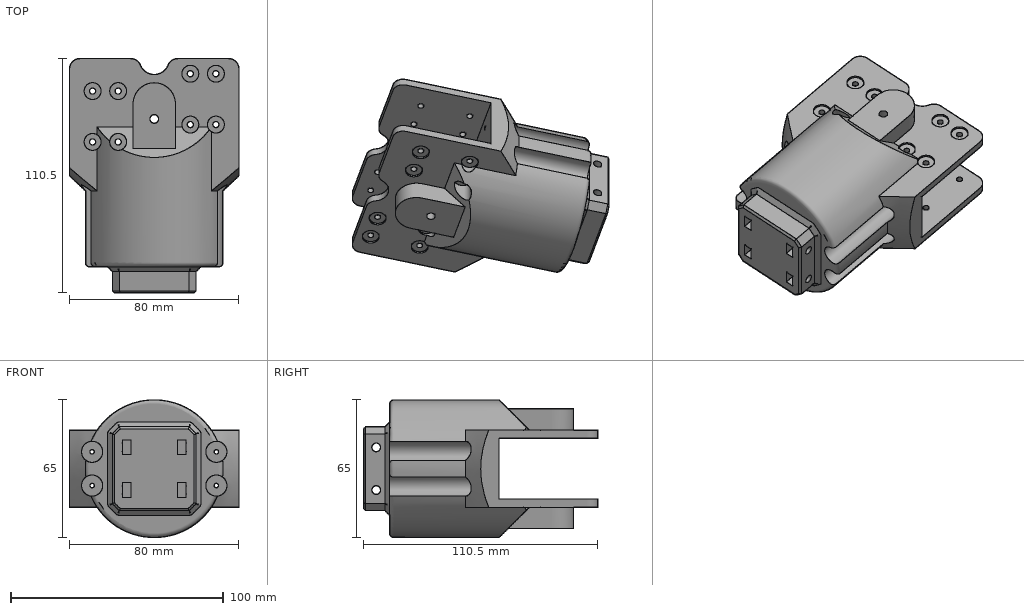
import cadquery as cq
import math


total_length = 110.5
total_width = 80.0
barrel_radius = 32.5

fork_length = 46.6
fork_half_height = 18.2
plate_thickness = 4.0
plate_corner_radius = 5.0
notch_radius = 7.0
notch_depth = 7.5
slot_half_height = fork_half_height - plate_thickness

shoulder_end_y = -15.8
shoulder_length = 10.9
shoulder_radius = math.hypot(total_width / 2, fork_half_height)

lug_width = 20.0
lug_half_height = 28.3
lug_arc_y = 25.2
lug_hole_y = 18.1
lug_hole_diameter = 4.0

plate_hole_diameter = 2.8
plate_bore_diameter = 8.0
plate_bore_depth = 1.0
plate_hole_inner_x = 17.0
plate_hole_outer_x = 29.1
plate_hole_pitch_y = 24.0
left_holes_y = 7.3
right_holes_y = 15.5

block_width = 39.6
block_length = 10.1
block_corner = 3.3
block_edge_chamfer = 1.0
flare_length = 2.2
flare_offset = 2.2
block_end_y = fork_length - total_length
flare_end_y = block_end_y + block_length
barrel_face_y = flare_end_y + flare_length
barrel_rim_fillet = 2.0

nut_slot_width = 4.0
nut_slot_height = 7.0
nut_slot_depth = 9.5
nut_slot_x = 13.0
cross_hole_z = 10.1
cross_hole_inset = 6.0
cross_hole_diameter = 4.0

channel_diameter = 10.0
channel_floor_wall = 6.0
screw_hole_diameter = 2.0
channel_x = 29.3
channel_z = 8.0


def cylinder_along_y(radius, y_start, y_end, x=0, z=0):
    return cq.Workplane("XZ", origin=(x, y_start, z)).circle(radius).extrude(y_start - y_end)


def cylinder_along_z(radius, x, y, z_start, z_end):
    return cq.Workplane("XY", origin=(x, y, z_start)).circle(radius).extrude(z_end - z_start)


def make_barrel():
    """Cylinder with a rounded front rim and 45 degree flats above and below at the back."""
    flat_rise = barrel_radius - slot_half_height
    barrel = cylinder_along_y(barrel_radius, barrel_face_y, flat_rise)
    barrel = barrel.faces("<Y").edges().fillet(barrel_rim_fillet)
    side_outline = (
        cq.Workplane("YZ")
        .moveTo(barrel_face_y, -barrel_radius)
        .lineTo(0, -barrel_radius)
        .lineTo(flat_rise, -slot_half_height)
        .lineTo(flat_rise, slot_half_height)
        .lineTo(0, barrel_radius)
        .lineTo(barrel_face_y, barrel_radius)
        .close()
        .extrude(barrel_radius, both=True)
    )
    return barrel.intersect(side_outline)


def make_fork_block():
    """Wide fork body: rounded tip corners, a tip notch and a conical shoulder."""
    fork_block_length = fork_length - shoulder_end_y
    block = cq.Workplane("XY", origin=(0, shoulder_end_y, 0)).box(
        total_width, fork_block_length, 2 * fork_half_height, centered=(True, False, True)
    )
    notch_y = fork_length - notch_depth + notch_radius
    notch = cylinder_along_z(notch_radius, 0, notch_y, -fork_half_height, fork_half_height)
    block = block.cut(notch).edges("|Z and >Y").fillet(plate_corner_radius)
    envelope = (
        cq.Workplane("XY")
        .moveTo(0, shoulder_end_y)
        .lineTo(barrel_radius, shoulder_end_y)
        .lineTo(shoulder_radius, shoulder_end_y + shoulder_length)
        .lineTo(shoulder_radius, fork_length)
        .lineTo(0, fork_length)
        .close()
        .revolve(360, (0, 0, 0), (0, 1, 0))
    )
    return block.intersect(envelope)


def make_lugs():
    """Round-ended lug running through both plates; the slot later splits it in two."""
    return (
        cq.Workplane("XY", origin=(0, 0, -lug_half_height))
        .moveTo(-lug_width / 2, 0)
        .lineTo(lug_width / 2, 0)
        .lineTo(lug_width / 2, lug_arc_y)
        .threePointArc((0, lug_arc_y + lug_width / 2), (-lug_width / 2, lug_arc_y))
        .close()
        .extrude(2 * lug_half_height)
    )


def make_connector():
    """Corner-cut square block joined to the barrel face by a 45 degree flare."""
    block = (
        cq.Workplane("XZ", origin=(0, barrel_face_y, 0))
        .rect(block_width, block_width)
        .extrude(flare_length + block_length)
        .edges("|Y")
        .chamfer(block_corner)
        .faces("<Y")
        .chamfer(block_edge_chamfer)
    )
    flare_taper = -math.degrees(math.atan2(flare_offset, flare_length))
    half = block_width / 2
    inner = half - block_corner
    flare = (
        cq.Workplane("XZ", origin=(0, flare_end_y, 0))
        .polyline([
            (half, inner), (inner, half), (-inner, half), (-half, inner),
            (-half, -inner), (-inner, -half), (inner, -half), (half, -inner),
        ])
        .close()
        .extrude(-flare_length, taper=flare_taper)
    )
    return block.union(flare)


def cut_fork_slot(body):
    slot = cq.Workplane("XY").box(
        total_width, fork_length, 2 * slot_half_height, centered=(True, False, True)
    )
    return body.cut(slot)


def cut_plate_holes(body):
    """Four holes on each side, counterbored from above and from below."""
    bore_floor_z = fork_half_height - plate_bore_depth
    for side, first_y in ((-1, left_holes_y), (1, right_holes_y)):
        for x in (side * plate_hole_inner_x, side * plate_hole_outer_x):
            for y in (first_y, first_y + plate_hole_pitch_y):
                body = body.cut(
                    cylinder_along_z(plate_hole_diameter / 2, x, y, -barrel_radius, barrel_radius)
                )
                for end in (-1, 1):
                    body = body.cut(
                        cylinder_along_z(
                            plate_bore_diameter / 2, x, y, end * bore_floor_z, end * barrel_radius
                        )
                    )
    return body


def cut_lug_hole(body):
    return body.cut(
        cylinder_along_z(lug_hole_diameter / 2, 0, lug_hole_y, -lug_half_height, lug_half_height)
    )


def cut_screw_channels(body):
    """Channels open to the barrel side, each with a screw hole on into the fork slot."""
    for x in (-channel_x, channel_x):
        for z in (-channel_z, channel_z):
            body = body.cut(cylinder_along_y(channel_diameter / 2, barrel_face_y, -channel_floor_wall, x, z))
            body = body.cut(cylinder_along_y(screw_hole_diameter / 2, barrel_face_y, 0, x, z))
    return body


def cut_connector_holes(body):
    cross_hole_y = block_end_y + cross_hole_inset
    for z in (-cross_hole_z, cross_hole_z):
        cross_hole = (
            cq.Workplane("YZ", origin=(0, cross_hole_y, z))
            .circle(cross_hole_diameter / 2)
            .extrude(block_width, both=True)
        )
        body = body.cut(cross_hole)
        for x in (-nut_slot_x, nut_slot_x):
            nut_slot = cq.Workplane("XY", origin=(x, block_end_y, z)).box(
                nut_slot_width, nut_slot_depth, nut_slot_height, centered=(True, False, True)
            )
            body = body.cut(nut_slot)
    return body


body = make_barrel().union(make_fork_block()).union(make_lugs()).union(make_connector())
body = cut_fork_slot(body)
body = cut_plate_holes(body)
body = cut_lug_hole(body)
body = cut_screw_channels(body)
result = cut_connector_holes(body)